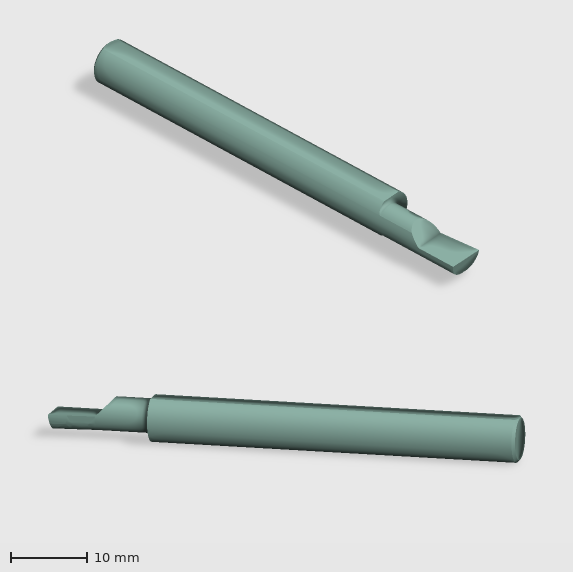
import cadquery as cq
import math

tool_length = 63.5
shank_length = 49.7
shank_radius = 3.2
shank_chamfer = 0.4
flat_height = 2.85

neck_radius = 2.3
neck_offset = -1.1
neck_fillet = 0.5

head_start = 57.3
back_taper = 5.5
end_relief_in_plan = 1.5
end_relief_in_depth = 7
ramp_angle = 45

insert_leg = 2.8
insert_thickness = 1.3

head_length = tool_length - head_start
tip_shift = head_length * math.tan(math.radians(back_taper))
tip_y = neck_offset + neck_radius + tip_shift
cutter_size = 4 * shank_radius


def rod(radius, start, end, y=0):
    """Round bar along X."""
    return cq.Workplane("YZ", origin=(start, y, 0)).circle(radius).extrude(end - start)


def make_shank():
    shank = rod(shank_radius, 0, shank_length).faces("<X").chamfer(shank_chamfer)
    flat_cutter = cq.Workplane("XY", origin=(0, 0, flat_height)).rect(
        2 * tool_length, cutter_size).extrude(cutter_size)
    return shank.cut(flat_cutter)


def make_neck_root():
    """Concave fillet revolved around the neck axis, at the shank end face."""
    root_end = shank_length + neck_fillet
    outer_radius = neck_radius + neck_fillet
    arc_drop = neck_fillet * (1 - math.sqrt(0.5))
    return (
        cq.Workplane("XY", origin=(0, neck_offset, 0))
        .moveTo(shank_length, 0)
        .lineTo(shank_length, outer_radius)
        .threePointArc((shank_length + arc_drop, neck_radius + arc_drop), (root_end, neck_radius))
        .lineTo(root_end, 0)
        .close()
        .revolve(360, (shank_length, 0, 0), (root_end, 0, 0))
    )


def make_back_taper():
    """Neck section swept obliquely, so that the back widens toward the tip."""
    return (
        cq.Workplane("YZ", origin=(head_start, neck_offset, 0))
        .circle(neck_radius)
        .workplane(offset=head_length)
        .center(tip_shift, 0)
        .circle(neck_radius)
        .loft(ruled=True)
    )


def make_rake_cutter():
    """Everything above the rake face and the ramp that leads down to it."""
    ramp_run = cutter_size / math.tan(math.radians(ramp_angle))
    return (
        cq.Workplane("XZ")
        .moveTo(head_start, 0)
        .lineTo(tool_length + cutter_size, 0)
        .lineTo(tool_length + cutter_size, cutter_size)
        .lineTo(head_start - ramp_run, cutter_size)
        .close()
        .extrude(cutter_size / 2, both=True)
    )


def make_end_cutter():
    """Block beyond the end face, which is relieved from the cutting tip."""
    tip = cq.Vector(tool_length, tip_y, 0)
    block = cq.Workplane("YZ").rect(2 * cutter_size, 2 * cutter_size).extrude(cutter_size)
    return (
        block.rotate((0, 0, 0), (0, 1, 0), end_relief_in_depth)
        .rotate((0, 0, 0), (0, 0, 1), -end_relief_in_plan)
        .translate(tip)
    )


def make_tool_blank():
    envelope = rod(shank_radius, shank_length, tool_length)
    neck = rod(neck_radius, shank_length, tool_length, neck_offset)
    neck = neck.union(make_neck_root()).union(make_back_taper()).intersect(envelope)
    neck = neck.cut(make_rake_cutter()).cut(make_end_cutter())
    return make_shank().union(neck)


def make_insert_envelope():
    """Triangular prism at the cutting tip; its outer sides lie beyond the blank."""
    reach = insert_leg + cutter_size
    return (
        cq.Workplane("XY", origin=(tool_length, tip_y, -insert_thickness))
        .moveTo(cutter_size, cutter_size)
        .lineTo(-reach, cutter_size)
        .lineTo(cutter_size, -reach)
        .close()
        .extrude(insert_thickness)
    )


blank = make_tool_blank()
insert_envelope = make_insert_envelope()
holder = blank.cut(insert_envelope)
insert = blank.intersect(insert_envelope)

result = cq.Compound.makeCompound([holder.val(), insert.val()])